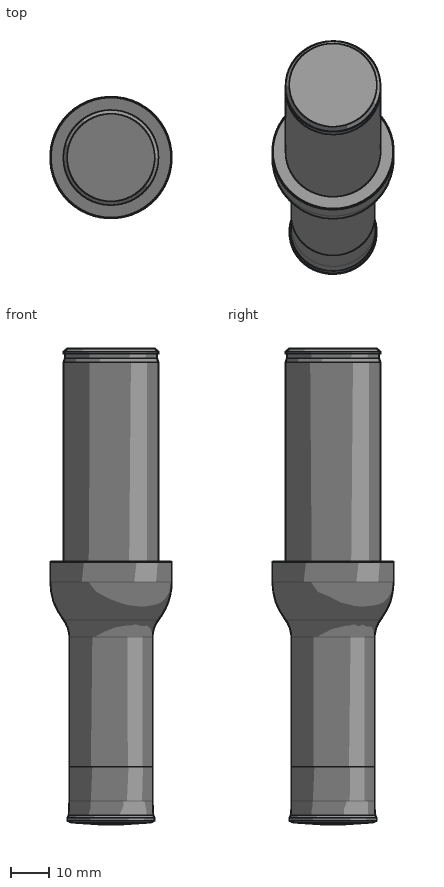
import cadquery as cq
import math

total_height = 125
body_split_height = 15.2
flare_start_height = 6.2
flare_end_height = 2.5
rim_top_height = 1.8
rim_bottom_height = 1.0
bottom_cone_height = 0.5
ball_centre_height = 63.8
collar_top_height = 69.1
groove_taper_start_height = 121.4
groove_floor_height = 122.5
lip_bottom_height = 123.6
lip_top_height = 124.1

stem_radius = 22.0 / 2
shank_radius = 25 / 2
collar_radius = 32.0 / 2
neck_fillet_radius = 7.2
flare_radius = 11.1
rim_radius = 11.5
bottom_face_radius = 2.8
bottom_cone_radius = 10.4
groove_radius = 12.1
top_face_radius = 11.5
collar_chamfer = 0.2


def revolve_about_z(profile):
    """Turn a closed radius-height profile into a solid around Z."""
    return profile.close().revolve(360, (0, 0, 0), (0, 1, 0))


def make_tip():
    """Lower end: stem, slight flare, projecting rim and shallow conical bottom."""
    profile = (
        cq.Workplane("XZ")
        .lineTo(bottom_face_radius, 0)
        .lineTo(bottom_cone_radius, bottom_cone_height)
        .lineTo(rim_radius, rim_bottom_height)
        .lineTo(rim_radius, rim_top_height)
        .lineTo(flare_radius, flare_end_height)
        .lineTo(stem_radius, flare_start_height)
        .lineTo(stem_radius, body_split_height)
        .lineTo(0, body_split_height)
    )
    return revolve_about_z(profile)


def make_holder():
    """Upper body: stem, spherical shoulder with collar, and grooved shank."""
    fillet_centre_radius = stem_radius + neck_fillet_radius
    centre_distance = collar_radius + neck_fillet_radius
    centre_drop = math.sqrt(centre_distance**2 - fillet_centre_radius**2)
    fillet_centre_height = ball_centre_height - centre_drop
    slope_angle = math.atan2(centre_drop, fillet_centre_radius)

    def ball_point(angle):
        return (
            collar_radius * math.cos(angle),
            ball_centre_height - collar_radius * math.sin(angle),
        )

    def fillet_point(angle):
        return (
            fillet_centre_radius - neck_fillet_radius * math.cos(angle),
            fillet_centre_height + neck_fillet_radius * math.sin(angle),
        )

    profile = (
        cq.Workplane("XZ")
        .moveTo(0, body_split_height)
        .lineTo(stem_radius, body_split_height)
        .lineTo(*fillet_point(0))
        .threePointArc(fillet_point(slope_angle / 2), fillet_point(slope_angle))
        .threePointArc(ball_point(slope_angle / 2), ball_point(0))
        .lineTo(collar_radius, collar_top_height - collar_chamfer)
        .lineTo(collar_radius - collar_chamfer, collar_top_height)
        .lineTo(shank_radius, collar_top_height)
        .lineTo(shank_radius, groove_taper_start_height)
        .lineTo(groove_radius, groove_floor_height)
        .lineTo(groove_radius, lip_bottom_height)
        .lineTo(shank_radius, lip_bottom_height)
        .lineTo(shank_radius, lip_top_height)
        .lineTo(top_face_radius, total_height)
        .lineTo(0, total_height)
    )
    return revolve_about_z(profile)


tip = make_tip()
holder = make_holder()
result = cq.Compound.makeCompound([tip.val(), holder.val()])